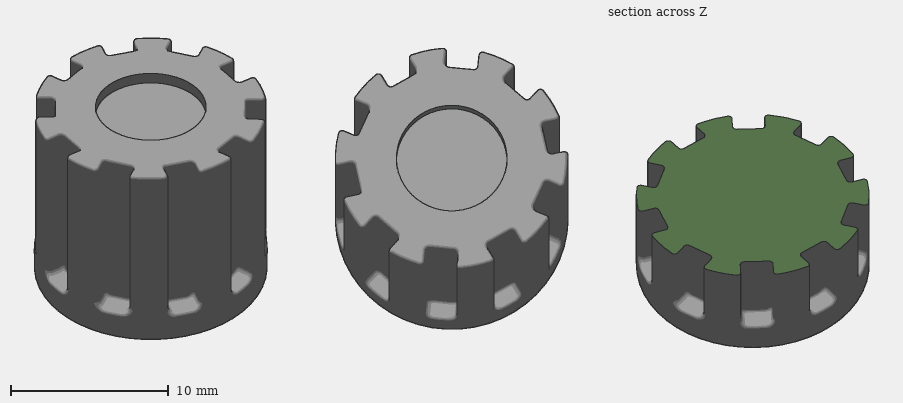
import cadquery as cq

body_diameter = 14.75
body_height = 13.15
body_radius = body_diameter / 2
base_fillet = 0.5

recess_diameter = 7.0
recess_depth = 0.75

slot_count = 10
slot_width = 2.05
slot_floor_radius = 6.05
slot_bottom_height = 2.13
slot_corner_radius = 0.5
slot_floor_fillet = 0.25
edge_fillet = 0.25

cutter_overrun = 1.0


def make_body():
    body = cq.Workplane("XY").circle(body_radius).extrude(body_height)
    return body.faces("<Z").edges().fillet(base_fillet)


def make_slot_cutter():
    """Slot cutter on the +X side, rounded on its lower corners and floor."""
    length = body_radius + cutter_overrun - slot_floor_radius
    height = body_height + cutter_overrun - slot_bottom_height
    cutter = (
        cq.Workplane("XY")
        .box(length, slot_width, height, centered=(False, True, False))
        .translate((slot_floor_radius, 0, slot_bottom_height))
    )
    cutter = cutter.faces("<Z").edges("|X").fillet(slot_corner_radius)
    return cutter.faces("<X").edges().fillet(slot_floor_fillet)


def cut_slots(body):
    cutter = make_slot_cutter()
    pitch_angle = 360 / slot_count
    for index in range(slot_count):
        body = body.cut(cutter.rotate((0, 0, 0), (0, 0, 1), index * pitch_angle))
    return body


def round_grip_edges(body):
    """Round the edges of the top face and the mouths of the slots."""
    walls = [face for face in body.faces("%CYLINDER").vals() if face.BoundingBox().xlen > body_radius]
    wall_edges = body.newObject(walls).edges().vals()
    mouth_edges = [edge for edge in wall_edges if edge.Center().z > slot_bottom_height - edge_fillet]
    top_edges = body.faces(">Z").edges().vals()
    return body.newObject(list(set(top_edges + mouth_edges))).fillet(edge_fillet)


def cut_recess(body):
    top_plane = body.faces(">Z").workplane(origin=(0, 0, body_height))
    return top_plane.circle(recess_diameter / 2).cutBlind(-recess_depth)


result = cut_recess(round_grip_edges(cut_slots(make_body())))